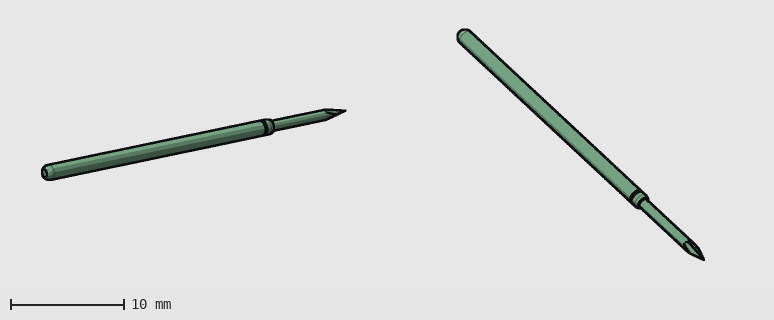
import cadquery as cq

total_length = 33.4
barrel_length = 25.0
barrel_radius = 1.37 / 2
rear_flat_radius = 0.37
plunger_radius = 0.46
plunger_overlap = 2.0

groove_width = 0.2
groove_depth = 0.04
groove_setback = 0.9
lip_length = 0.35
lip_drop = 0.07

side_ridge_length = 1.3
upper_ridge_length = 2.05

dome_length = (barrel_radius**2 - rear_flat_radius**2) ** 0.5
dome_middle_radius = (barrel_radius + rear_flat_radius) / 2
dome_middle_y = dome_length - (barrel_radius**2 - dome_middle_radius**2) ** 0.5
groove_middle = barrel_length - groove_setback
point_length = side_ridge_length + upper_ridge_length


def make_barrel():
    """Barrel with a domed rear end that finishes in a small flat, and a lip that curves in at the front."""
    lip_start = barrel_length - lip_length
    profile = (
        cq.Workplane("YZ")
        .moveTo(barrel_length, barrel_radius - lip_drop)
        .lineTo(barrel_length, 0)
        .lineTo(0, 0)
        .lineTo(0, rear_flat_radius)
        .threePointArc((dome_middle_y, dome_middle_radius), (dome_length, barrel_radius))
        .lineTo(lip_start, barrel_radius)
        .tangentArcPoint((barrel_length, barrel_radius - lip_drop), relative=False)
        .close()
    )
    return profile.revolve(360, (0, 0, 0), (1, 0, 0))


def make_groove():
    """Shallow V-shaped ring to cut from the barrel."""
    rear_edge = groove_middle - groove_width / 2
    front_edge = groove_middle + groove_width / 2
    outer_radius = 2 * barrel_radius
    profile = (
        cq.Workplane("YZ")
        .moveTo(rear_edge, outer_radius)
        .lineTo(rear_edge, barrel_radius)
        .lineTo(groove_middle, barrel_radius - groove_depth)
        .lineTo(front_edge, barrel_radius)
        .lineTo(front_edge, outer_radius)
        .close()
    )
    return profile.revolve(360, (0, 0, 0), (1, 0, 0))


def make_point():
    """Pyramid with a diamond section, its ridges in the X = 0 and Z = 0 planes."""
    half_width = plunger_radius * point_length / side_ridge_length
    half_height = plunger_radius * point_length / upper_ridge_length
    base = [(half_width, 0), (0, half_height), (-half_width, 0), (0, -half_height)]
    tip = cq.Vector(0, total_length, 0)
    corners = [cq.Vector(x, total_length - point_length, z) for x, z in base]
    faces = [cq.Face.makeFromWires(cq.Wire.makePolygon(corners, close=True))]
    for index, corner in enumerate(corners):
        side = [corners[index - 1], corner, tip]
        faces.append(cq.Face.makeFromWires(cq.Wire.makePolygon(side, close=True)))
    return cq.Workplane(cq.Solid.makeSolid(cq.Shell.makeShell(faces)))


def make_plunger():
    """Round rod from inside the barrel to the tip, its front end ground to the point."""
    point_start = total_length - point_length
    rod_start = barrel_length - plunger_overlap
    rod = cq.Workplane("XZ", origin=(0, rod_start, 0)).circle(plunger_radius).extrude(rod_start - point_start)
    blank = cq.Workplane("XZ", origin=(0, point_start, 0)).circle(plunger_radius).extrude(-point_length)
    return rod.union(blank.intersect(make_point()))


result = make_barrel().cut(make_groove()).union(make_plunger())